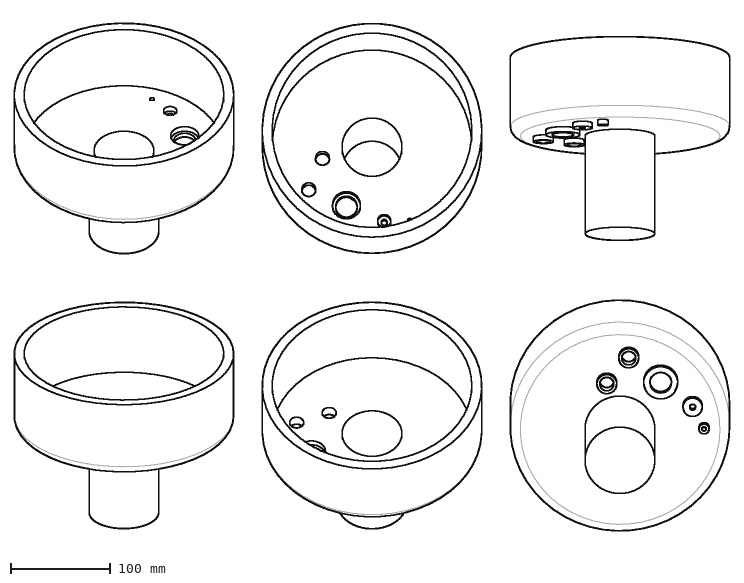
import cadquery as cq

CUP_RADIUS = 110.0
CUP_HEIGHT = 80.0
CUP_WALL = 10.0
CUP_BOTTOM_FILLET = 10.0
FLOOR_THICKNESS = 6.0

STEM_RADIUS = 35.0
STEM_LENGTH = 100.0
STEM_WALL = 5.0
STEM_END_THICKNESS = 5.0

BOSS_HEIGHT = 5.0
BOSS_WALL = 3.0

HOLE_ROW_Y = 65.0
SIDE_HOLE_X = 41.1
LOWER_HOLE_Y = 30.0
PIN_HOLE_CENTER = (-64.4, 54.4)

MAIN_BORE_RADIUS = 14.0
MAIN_OUTLET_RADIUS = 10.75
SMALL_BORE_RADIUS = 6.65
SMALL_OUTLET_RADIUS = 3.0
PORT_RADIUS = 7.0
PIN_HOLE_RADIUS = 2.15

FITTINGS = [
    ((0.0, HOLE_ROW_Y), MAIN_BORE_RADIUS, MAIN_OUTLET_RADIUS),
    ((-SIDE_HOLE_X, HOLE_ROW_Y), SMALL_BORE_RADIUS, SMALL_OUTLET_RADIUS),
    ((SIDE_HOLE_X, HOLE_ROW_Y), PORT_RADIUS, PORT_RADIUS),
    ((SIDE_HOLE_X, LOWER_HOLE_Y), PORT_RADIUS, PORT_RADIUS),
    (PIN_HOLE_CENTER, PIN_HOLE_RADIUS, PIN_HOLE_RADIUS),
]


def cylinder(center, radius, bottom, top):
    """Vertical cylinder between two heights."""
    return cq.Workplane("XY", origin=(*center, bottom)).circle(radius).extrude(top - bottom)


def make_cup():
    outside = cylinder((0, 0), CUP_RADIUS, 0, CUP_HEIGHT).faces("<Z").edges().fillet(CUP_BOTTOM_FILLET)
    cavity = cylinder((0, 0), CUP_RADIUS - CUP_WALL, FLOOR_THICKNESS, CUP_HEIGHT)
    return outside.cut(cavity)


def add_stem(body):
    stem = cylinder((0, 0), STEM_RADIUS, -STEM_LENGTH, FLOOR_THICKNESS)
    bore = cylinder((0, 0), STEM_RADIUS - STEM_WALL, STEM_END_THICKNESS - STEM_LENGTH, FLOOR_THICKNESS)
    return body.union(stem).cut(bore)


def add_bosses(body):
    for center, bore_radius, _ in FITTINGS:
        boss = cylinder(center, bore_radius + BOSS_WALL, -BOSS_HEIGHT, FLOOR_THICKNESS)
        body = body.union(boss)
    return body


def cut_bores(body):
    """Cut each bore through the floor and its outlet on through the boss below."""
    for center, bore_radius, outlet_radius in FITTINGS:
        bore = cylinder(center, bore_radius, 0, FLOOR_THICKNESS)
        outlet = cylinder(center, outlet_radius, -BOSS_HEIGHT, FLOOR_THICKNESS)
        body = body.cut(bore).cut(outlet)
    return body


result = cut_bores(add_bosses(add_stem(make_cup())))